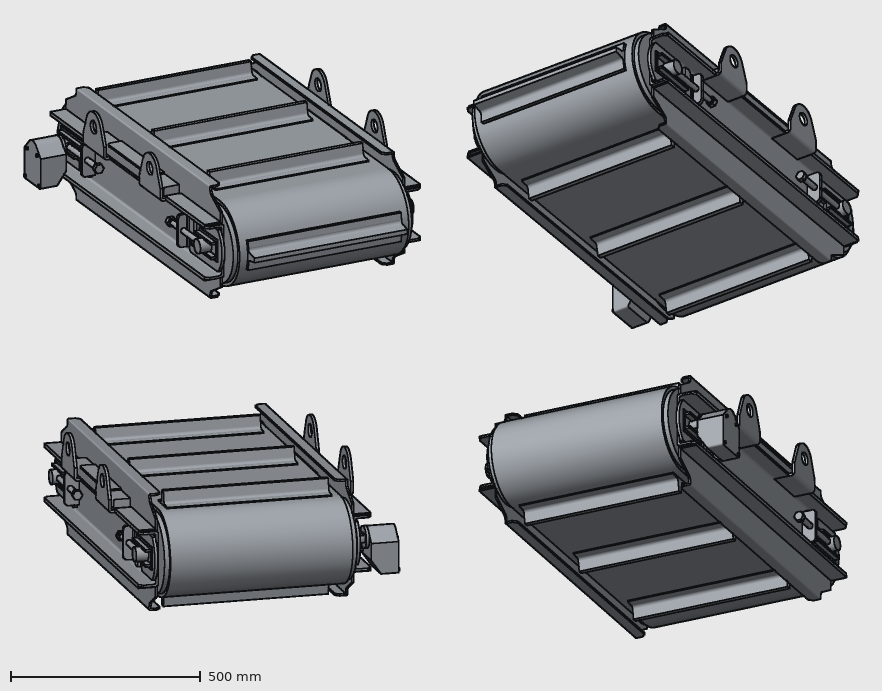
import cadquery as cq
import math


overall_length = 1075

pulley_radius = 109.0
pulley_half_width = 263.0
belt_thickness = 10.0
belt_radius = pulley_radius + belt_thickness
belt_half_width = 250.0
shaft_radius = 40.0 / 2
shaft_end_y = 315.0
collar_radius = 25.0

cleat_half_length = 226
cleat_height = 40.0
cleat_base_half = 41.0
cleat_pitch = 325.0
cleat_middle_x = -34.0

pulley_x = (overall_length - cleat_height) / 2 - belt_radius

web_inner_y = 267.0
channel_thickness = 6.0
web_outer_y = web_inner_y + channel_thickness
channel_half_length = 459.0
channel_half_height = 75.0
channel_edge_y = 318.0
channel_corner = 11.0
skirt_thickness = 5.0
skirt_foot_thickness = 4.0
skirt_bend_radius = 4.0
skirt_half_length = 450.0
skirt_shoulder_z = 106.0
skirt_top_z = 159.0
skirt_top_half = 389.0
skirt_notch_z = 140.0
skirt_notch_radius = 17.0
lip_inner_y = 240.0
lip_chamfer = 11.0

beam_half_length = 211.0
beam_edge_y = 317.0
beam_top_z = 100.0
beam_corner = 4.0
lid_half_length = 125.0
lid_edge_y = 315.0
lid_thickness = 4.0
lid_corner = 11.0

lug_x = 328.0 / 2
lug_half_width = 60.0
lug_outer_y = 336.0
lug_thickness = 8.0
lug_bottom_z = 68.0
lug_shoulder_z = 104.0
lug_hole_z = 141.0
lug_hole_diameter = 35.0
lug_top_radius = 42.0
lug_bend_radius = 11.0
flange_gap_edge = 220.0
flange_gap_root_y = 282.0

slide_outer_y = 282.0
slide_inner_x = 289.0
slide_half_height = 59.0
slide_arc_start_x = 454.0
slide_arc_end_x = 479.0
slide_corner = 11.0
rail_inner_x = 322.0
rail_outer_x = 447.0
rail_inner_z = 17.0
entry_inner_x = 314.0
entry_outer_x = 352.0
rail_half_height = 31.0
rail_base_thickness = 2.0
rail_flange_thickness = 6.0
rail_flange_y = 298.0
stop_width = 8.0

bracket_x = 275.0
bracket_thickness = 9.1
bracket_half_height = 46.0
bracket_outer_y = 312.0
bracket_corner = 10.0
bracket_foot_x = 288.0
bracket_foot_thickness = 5.0
screw_y = 297.0
screw_diameter = 16.0
screw_neck_diameter = 15.0
screw_neck_x = 222.0
screw_head_inner_x = 218.0
screw_head_outer_x = 205.0
screw_head_flats = 24.0

motor_half_width = 96.0 / 2
motor_top_radius = 59.0 / 2
motor_bottom_z = -92.0
motor_bottom_radius = 5.0
motor_back_y = -320.0
motor_front_y = -396.0
motor_slope_y = -348.0
motor_slope_z = -53.0
motor_flange_back_y = -312.0
motor_flange_radius = 30.0
drive_flat_half = 23.0 / 2
motor_screw_diameter = 8.0
motor_screw_height = 3.0
motor_screws = [(29.0, -2.0), (41.0, -84.0)]


def block(x_range, y_range, z_range):
    """Axis-aligned box given by its ends along each axis."""
    (x0, x1), (y0, y1), (z0, z1) = x_range, y_range, z_range
    return cq.Workplane("XY").box(x1 - x0, y1 - y0, z1 - z0, centered=False).translate((x0, y0, z0))


def y_plane(y):
    """Work plane with X right and Z up; positive extrusion runs toward -Y."""
    return cq.Workplane(cq.Plane(origin=(0, y, 0), xDir=(1, 0, 0), normal=(0, -1, 0)))


def y_extrude(sketch, length):
    return sketch.extrude(-length)


def y_cylinder(x, radius, y0, y1):
    return y_extrude(y_plane(y0).center(x, 0).circle(radius), y1 - y0)


def both_sides(part):
    """The part together with its mirror image across the XZ plane."""
    return part.union(part.mirror("XZ"))


def make_cleat():
    """Cleat standing on the upper belt run at X = 0, its root sunk into the belt."""
    root = -7.0
    edge_height = 3.0
    foot_half, foot_height = 23.0, 5.0
    stem_half, stem_height = 11.0, 14.0
    bend_half, bend_height = 14.0, 8.0
    tip_half = 6.0
    profile = (
        y_plane(-cleat_half_length)
        .center(0, belt_radius)
        .moveTo(-cleat_base_half, root)
        .lineTo(-cleat_base_half, edge_height)
        .lineTo(-foot_half, foot_height)
        .threePointArc((-bend_half, bend_height), (-stem_half, stem_height))
        .lineTo(-tip_half, cleat_height)
        .lineTo(tip_half, cleat_height)
        .lineTo(stem_half, stem_height)
        .threePointArc((bend_half, bend_height), (foot_half, foot_height))
        .lineTo(cleat_base_half, edge_height)
        .lineTo(cleat_base_half, root)
        .close()
    )
    return y_extrude(profile, 2 * cleat_half_length)


def make_belt():
    outer = y_plane(-belt_half_width).slot2D(2 * (pulley_x + belt_radius), 2 * belt_radius)
    inner = y_plane(-belt_half_width).slot2D(2 * (pulley_x + pulley_radius), 2 * pulley_radius)
    belt = y_extrude(outer, 2 * belt_half_width).cut(y_extrude(inner, 2 * belt_half_width))
    cleat = make_cleat()
    for step in (-1, 0, 1):
        upper = cleat.translate((cleat_middle_x + step * cleat_pitch, 0, 0))
        belt = belt.union(upper).union(upper.mirror("XY"))
    end_cleat = cleat.rotate((0, 0, 0), (0, 1, 0), 90).translate((pulley_x, 0, 0))
    return belt.union(end_cleat)


def make_pulley(x):
    drum = y_cylinder(x, pulley_radius, -pulley_half_width, pulley_half_width)
    return drum.union(y_cylinder(x, collar_radius, -web_outer_y, web_outer_y))


def make_channel():
    height = (-channel_half_height, channel_half_height)
    length = (-channel_half_length, channel_half_length)
    channel = block(length, (web_inner_y, channel_edge_y), height)
    channel = channel.edges("|X and <Y").fillet(channel_thickness)
    channel = channel.edges("|Z and >Y").chamfer(channel_corner)
    inner_half_height = channel_half_height - channel_thickness
    hollow = block(length, (web_outer_y, channel_edge_y), (-inner_half_height, inner_half_height))
    channel = channel.cut(hollow.edges("|X and <Y").fillet(channel_thickness))
    for side in (-1, 1):
        ends = sorted((side * (lug_x - lug_half_width), side * flange_gap_edge))
        channel = channel.cut(
            block(ends, (flange_gap_root_y, channel_edge_y), (inner_half_height, channel_half_height))
        )
    return channel


def make_skirt():
    """Upper skirt sheet with sloping ends and an inward lip along its top edge."""
    outline = [
        (-skirt_half_length, channel_half_height),
        (-skirt_half_length, skirt_shoulder_z),
        (-skirt_top_half, skirt_notch_z),
        (-skirt_top_half, skirt_top_z),
    ]
    outline += [(-x, z) for x, z in reversed(outline)]
    sheet = y_extrude(y_plane(web_inner_y).polyline(outline).close(), skirt_thickness)
    for x in (-skirt_top_half, skirt_top_half):
        corner = cq.selectors.NearestToPointSelector((x, web_inner_y + skirt_thickness / 2, skirt_notch_z))
        sheet = sheet.edges("|Y").edges(corner).fillet(skirt_notch_radius)
    lip = block(
        (-skirt_top_half, skirt_top_half),
        (lip_inner_y, web_inner_y + skirt_thickness),
        (skirt_top_z - skirt_thickness, skirt_top_z),
    )
    skirt = sheet.union(lip.edges("|Z and <Y").chamfer(lip_chamfer))
    return skirt.edges("|X and >Y and >Z").fillet(skirt_bend_radius)


def make_skirt_foot(x0, x1):
    """Strip at the foot of the upper skirt, lying on the channel flange."""
    return block(
        (x0, x1),
        (web_inner_y, channel_edge_y),
        (channel_half_height, channel_half_height + skirt_foot_thickness),
    )


def make_lug(x):
    """Angle bracket: an eye plate standing on a leg that joins the channel."""
    reach = lug_hole_z - lug_shoulder_z
    distance = math.hypot(lug_half_width, reach)
    touch = math.acos(lug_top_radius / distance) - math.atan2(reach, lug_half_width)
    touch_x = lug_top_radius * math.cos(touch)
    touch_z = lug_hole_z + lug_top_radius * math.sin(touch)
    eye = (
        y_plane(web_outer_y)
        .moveTo(-lug_half_width, lug_bottom_z)
        .lineTo(-lug_half_width, lug_shoulder_z)
        .lineTo(-touch_x, touch_z)
        .threePointArc((0, lug_hole_z + lug_top_radius), (touch_x, touch_z))
        .lineTo(lug_half_width, lug_shoulder_z)
        .lineTo(lug_half_width, lug_bottom_z)
        .close()
    )
    lug = y_extrude(eye, lug_outer_y - web_outer_y).edges("|X and >Y and <Z").fillet(lug_bend_radius)
    above_leg = block(
        (-lug_half_width, lug_half_width),
        (web_outer_y, lug_outer_y - lug_thickness),
        (lug_bottom_z + lug_thickness, lug_hole_z + lug_top_radius),
    )
    lug = lug.cut(above_leg)
    hole = y_plane(web_outer_y).center(0, lug_hole_z).circle(lug_hole_diameter / 2)
    return lug.cut(y_extrude(hole, lug_outer_y - web_outer_y)).translate((x, 0, 0))


def make_slide():
    plate = (
        y_plane(web_outer_y)
        .moveTo(slide_inner_x, -slide_half_height)
        .lineTo(slide_inner_x, slide_half_height)
        .lineTo(slide_arc_start_x, slide_half_height)
        .threePointArc((slide_arc_end_x, 0), (slide_arc_start_x, -slide_half_height))
        .close()
    )
    slide = y_extrude(plate, slide_outer_y - web_outer_y).edges("|Y and <X").fillet(slide_corner)
    entry = block((entry_inner_x, entry_outer_x), (web_outer_y, slide_outer_y), (0, slide_half_height))
    slide = slide.cut(entry)

    base_end_y = slide_outer_y + rail_base_thickness
    for start_x, side in ((entry_outer_x, 1), (rail_inner_x, -1)):
        length = (start_x, rail_outer_x)
        base_z = sorted((side * rail_inner_z, side * rail_half_height))
        flange_z = sorted((side * rail_inner_z, side * (rail_inner_z + rail_flange_thickness)))
        slide = slide.union(block(length, (web_outer_y, base_end_y), base_z))
        slide = slide.union(block(length, (web_outer_y, rail_flange_y), flange_z))
    outer_stop = block(
        (rail_outer_x, rail_outer_x + stop_width),
        (web_outer_y, base_end_y),
        (-rail_half_height, rail_half_height),
    )
    inner_stop = block(
        (entry_inner_x, rail_inner_x),
        (web_outer_y, base_end_y),
        (-rail_half_height, -rail_inner_z),
    )
    return slide.union(outer_stop).union(inner_stop)


def x_screw_section(diameter, x0, x1):
    return cq.Workplane("YZ", origin=(x0, screw_y, 0)).circle(diameter / 2).extrude(x1 - x0)


def make_tensioner():
    """Bracket on the web and the screw that runs through it to the shaft."""
    bracket = block(
        (bracket_x, bracket_x + bracket_thickness),
        (web_inner_y, bracket_outer_y),
        (-bracket_half_height, bracket_half_height),
    ).edges("|X and >Y").fillet(bracket_corner)
    foot = block(
        (bracket_x, bracket_foot_x),
        (web_inner_y, slide_outer_y + bracket_foot_thickness),
        (-bracket_half_height, bracket_half_height),
    )
    screw = x_screw_section(screw_diameter, screw_neck_x, pulley_x)
    neck = x_screw_section(screw_neck_diameter, screw_head_inner_x, screw_neck_x)
    head = (
        cq.Workplane("YZ", origin=(screw_head_outer_x, screw_y, 0))
        .polygon(6, screw_head_flats / math.cos(math.pi / 6))
        .extrude(screw_head_inner_x - screw_head_outer_x)
    )
    return bracket.union(foot).union(screw).union(neck).union(head)


def make_frame():
    frame = make_channel()
    skirt = make_skirt()
    frame = frame.union(skirt).union(skirt.mirror("XY"))
    frame = frame.union(make_skirt_foot(-skirt_half_length, -flange_gap_edge))
    frame = frame.union(make_skirt_foot(flange_gap_edge, skirt_half_length))
    frame = frame.union(make_skirt_foot(-skirt_half_length, skirt_half_length).mirror("XY"))
    for x in (-lug_x, lug_x):
        frame = frame.union(make_lug(x))
    slide = make_slide()
    tensioner = make_tensioner()
    for angle in (0, 180):
        for part in (slide, tensioner):
            frame = frame.union(part.rotate((0, 0, 0), (0, 1, 0), angle))
    return frame


def make_beam():
    beam = block(
        (-beam_half_length, beam_half_length),
        (-beam_edge_y, beam_edge_y),
        (channel_half_height - channel_thickness, beam_top_z),
    )
    beam = beam.faces("<Y or >Y").edges(">Z").fillet(beam_corner)
    lid = block(
        (-lid_half_length, lid_half_length),
        (-lid_edge_y, lid_edge_y),
        (beam_top_z - lid_thickness, beam_top_z + lid_thickness),
    )
    return beam.union(lid.edges("|Z").fillet(lid_corner))


def make_motor():
    tangent = motor_top_radius * math.sin(math.pi / 4)
    corner_z = 2 * tangent - motor_half_width
    outline = (
        y_plane(motor_front_y)
        .center(-pulley_x, 0)
        .moveTo(-motor_half_width, motor_bottom_z)
        .lineTo(-motor_half_width, corner_z)
        .lineTo(-tangent, tangent)
        .threePointArc((0, motor_top_radius), (tangent, tangent))
        .lineTo(motor_half_width, corner_z)
        .lineTo(motor_half_width, motor_bottom_z)
        .close()
    )
    motor = y_extrude(outline, motor_back_y - motor_front_y)
    motor = motor.edges("|Y and <Z").fillet(motor_bottom_radius)
    slope = (
        cq.Workplane("YZ", origin=(-pulley_x - motor_half_width, 0, 0))
        .polyline(
            [
                (motor_back_y, motor_slope_z),
                (motor_slope_y, motor_bottom_z),
                (motor_back_y, motor_bottom_z),
            ]
        )
        .close()
        .extrude(2 * motor_half_width)
    )
    motor = motor.cut(slope)
    motor = motor.union(y_cylinder(-pulley_x, motor_flange_radius, motor_back_y, motor_flange_back_y))
    for offset, z in motor_screws:
        for x in (-pulley_x - offset, -pulley_x + offset):
            head = y_plane(motor_front_y).center(x, z).circle(motor_screw_diameter / 2)
            motor = motor.union(head.extrude(motor_screw_height))
    return motor


def make_drive_end():
    """Flattened end of the drive shaft that enters the motor."""
    shaft = y_cylinder(-pulley_x, shaft_radius, motor_flange_back_y, -web_inner_y)
    flats = block(
        (-pulley_x - shaft_radius, -pulley_x + shaft_radius),
        (motor_flange_back_y, -web_inner_y),
        (-drive_flat_half, drive_flat_half),
    )
    return shaft.intersect(flats)


result = make_belt().union(make_pulley(-pulley_x)).union(make_pulley(pulley_x))
result = result.union(both_sides(make_frame())).union(make_beam())
result = result.union(y_cylinder(pulley_x, shaft_radius, -shaft_end_y, shaft_end_y))
result = result.union(y_cylinder(-pulley_x, shaft_radius, -pulley_half_width, shaft_end_y))
result = result.union(make_drive_end()).union(make_motor())